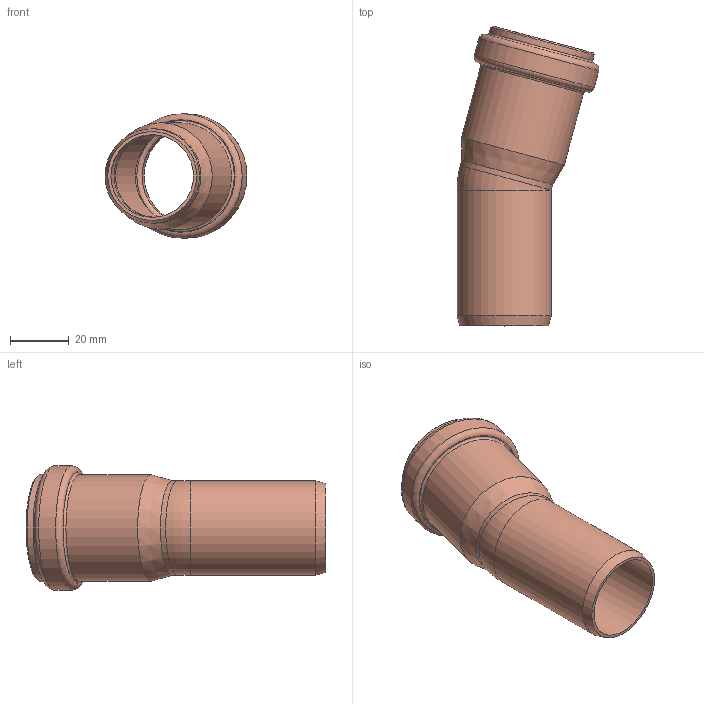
import cadquery as cq
import math


spigot_diameter = 32.2
bore_diameter = 28.2
spigot_length = 46.35
lead_in_length = 3.5
lead_in_angle = 15.0

bend_angle = 15.0
inner_bend_radius = 0.1

socket_wall = 1.8
socket_diameter = 36.3
lip_diameter = 36.6
bead_diameter = 42.4
neck_length = 1.85
taper_length = 7.5
socket_length = 48.9
bead_width = 10.0
lip_length = 3.4
bead_round = 2.0
bead_root_round = 0.8
mouth_bevel = 0.5
groove_side_wall = 0.8
groove_mouth_round = 1.5

spigot_radius = spigot_diameter / 2
bore_radius = bore_diameter / 2
socket_radius = socket_diameter / 2
lip_radius = lip_diameter / 2
bead_radius = bead_diameter / 2

bend_radius = spigot_radius + inner_bend_radius
taper_end = neck_length + taper_length
bead_end = socket_length - lip_length
bead_start = bead_end - bead_width


def turn(profile):
    """Revolve a closed (radius, height) profile about the Y axis."""
    return profile.close().revolve(360, (0, 0, 0), (0, 1, 0))


def make_spigot():
    """Straight pipe with a conical lead-in on the outside of its mouth."""
    tip_radius = spigot_radius - lead_in_length * math.tan(math.radians(lead_in_angle))
    profile = (
        cq.Workplane("XY")
        .moveTo(bore_radius, 0)
        .lineTo(tip_radius, 0)
        .lineTo(spigot_radius, lead_in_length)
        .lineTo(spigot_radius, spigot_length)
        .lineTo(bore_radius, spigot_length)
    )
    return turn(profile)


def make_elbow():
    """Pipe ring swept about a vertical axis on the +X side of the spigot."""
    return (
        cq.Workplane("XZ", origin=(0, spigot_length, 0))
        .circle(spigot_radius)
        .circle(bore_radius)
        .revolve(bend_angle, (bend_radius, 0, 0), (bend_radius, -1, 0))
    )


def make_socket_body():
    """Outside of the socket: neck, taper, tube, rounded bead and lip."""
    profile = (
        cq.Workplane("XY")
        .lineTo(spigot_radius, 0)
        .lineTo(spigot_radius, neck_length)
        .lineTo(socket_radius, taper_end)
        .lineTo(socket_radius, bead_start - bead_root_round)
        .radiusArc((socket_radius + bead_root_round, bead_start), bead_root_round)
        .lineTo(bead_radius - bead_round, bead_start)
        .radiusArc((bead_radius, bead_start + bead_round), -bead_round)
        .lineTo(bead_radius, bead_end - bead_round)
        .radiusArc((bead_radius - bead_round, bead_end), -bead_round)
        .lineTo(lip_radius + bead_root_round, bead_end)
        .radiusArc((lip_radius, bead_end + bead_root_round), bead_root_round)
        .lineTo(lip_radius, socket_length - mouth_bevel)
        .lineTo(lip_radius - mouth_bevel, socket_length)
        .lineTo(0, socket_length)
    )
    return turn(profile)


def make_socket_bore():
    """Inside of the socket, with the seal groove rounded into the lip bore."""
    tube_bore = socket_radius - socket_wall
    lip_bore = lip_radius - socket_wall
    groove_radius = bead_radius - socket_wall
    groove_start = bead_start + groove_side_wall
    groove_end = bead_end - groove_side_wall
    profile = (
        cq.Workplane("XY")
        .lineTo(bore_radius, 0)
        .lineTo(bore_radius, neck_length)
        .lineTo(tube_bore, taper_end)
        .lineTo(tube_bore, groove_start)
        .lineTo(groove_radius, groove_start)
        .lineTo(groove_radius, groove_end)
        .lineTo(lip_bore + groove_mouth_round, groove_end)
        .radiusArc((lip_bore, groove_end + groove_mouth_round), groove_mouth_round)
        .lineTo(lip_bore, socket_length)
        .lineTo(0, socket_length)
    )
    return turn(profile)


def place_on_elbow(socket):
    """Move a socket from the origin to the far end of the elbow."""
    angle = math.radians(bend_angle)
    elbow_shift = bend_radius * (1 - math.cos(angle))
    elbow_rise = bend_radius * math.sin(angle)
    return socket.rotate((0, 0, 0), (0, 0, 1), -bend_angle).translate(
        (elbow_shift, spigot_length + elbow_rise, 0)
    )


socket = place_on_elbow(make_socket_body().cut(make_socket_bore()))
result = make_spigot().union(make_elbow()).union(socket)